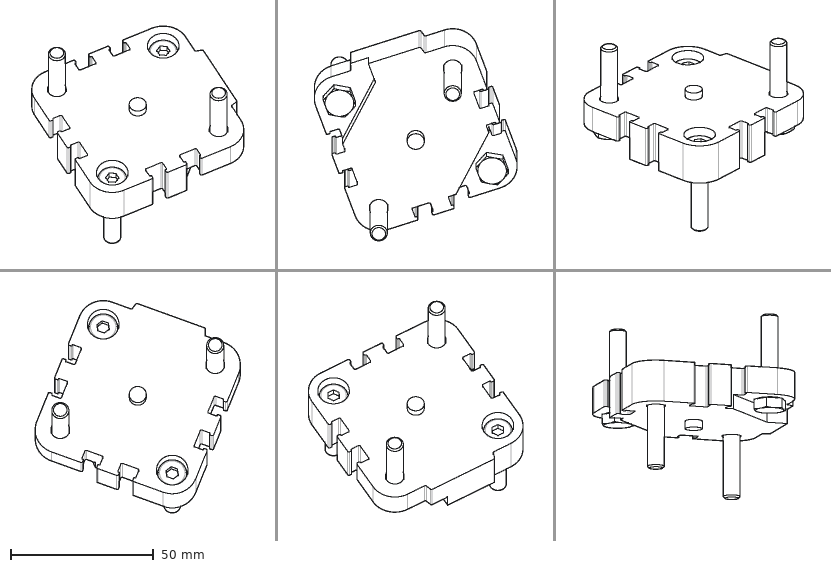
import cadquery as cq
import math

PLATE_WIDTH = 59.6
PLATE_HALF = PLATE_WIDTH / 2
PLATE_THICKNESS = 14.65
PLATE_LENGTH = 62.3
SCREW_OFFSET = 21.0
CORNER_RADIUS = PLATE_HALF - SCREW_OFFSET
EDGE_ROUND = 0.5

TAB_HEIGHT = PLATE_LENGTH - PLATE_WIDTH
TAB_TIP_WIDTH = 25.9
TAB_BASE_WIDTH = 27.4

SLOT_OFFSET = 6.7
SLOT_WIDTH = 6.7
SLOT_DEPTH = 4.9
SLOT_MOUTH_WIDTH = 5.35
SLOT_LIP_DEPTH = 1.45
SLOT_LIP_ROUND = 0.25

BOSS_DIAMETER = 6.0
BOSS_HEIGHT = 2.75

CLEARANCE_DIAMETER = 6.6
COUNTERBORE_DIAMETER = 11.0
COUNTERBORE_SEAT_Z = 7.85
RECESS_HEIGHT = 5.1
RECESS_WALL_END = 6.3

SHANK_DIAMETER = 6.0
SHANK_LENGTH = 30.0
SHANK_CHAMFER = 0.6
HEAD_HEIGHT = 4.0
CAP_HEAD_DIAMETER = 10.0
CAP_HEAD_ROUND = 0.55
SOCKET_FLATS = 4.0
SOCKET_DEPTH = 2.3
HEX_HEAD_FLATS = 10.0
WASHER_FACE_DIAMETER = 8.9
WASHER_FACE_HEIGHT = 0.3
HEX_CHAMFER_ANGLE = 20.0

HEX_SCREW_POINTS = [(-SCREW_OFFSET, -SCREW_OFFSET), (SCREW_OFFSET, SCREW_OFFSET)]
CAP_SCREW_POINTS = [(-SCREW_OFFSET, SCREW_OFFSET), (SCREW_OFFSET, -SCREW_OFFSET)]


def corner_diameter(flats):
    """Distance across the corners of a hexagon with the given distance across flats."""
    return flats / math.cos(math.radians(30))


def make_tab():
    """Tapered tab with rounded tip corners, rooted a little way inside the plate."""
    base_y = PLATE_HALF
    tip_y = PLATE_HALF + TAB_HEIGHT
    root_y = PLATE_HALF - CORNER_RADIUS
    outline = [
        (-TAB_BASE_WIDTH / 2, root_y),
        (-TAB_BASE_WIDTH / 2, base_y),
        (-TAB_TIP_WIDTH / 2, tip_y),
        (TAB_TIP_WIDTH / 2, tip_y),
        (TAB_BASE_WIDTH / 2, base_y),
        (TAB_BASE_WIDTH / 2, root_y),
    ]
    tab = cq.Workplane("XY").polyline(outline).close().extrude(PLATE_THICKNESS)
    return tab.edges("|Z and >Y").fillet(EDGE_ROUND)


def make_slot(offset):
    """Cutter for one T-slot entering the -Y side at X = offset, with a rounded floor."""
    chamber_length = SLOT_DEPTH - SLOT_LIP_DEPTH
    chamber_y = -PLATE_HALF + SLOT_LIP_DEPTH + chamber_length / 2
    chamber = (
        cq.Workplane("XY")
        .center(offset, chamber_y)
        .rect(SLOT_WIDTH, chamber_length)
        .extrude(PLATE_THICKNESS)
        .edges("|Z and >Y")
        .fillet(EDGE_ROUND)
    )
    mouth = (
        cq.Workplane("XY")
        .center(offset, -PLATE_HALF + SLOT_LIP_DEPTH / 2)
        .rect(SLOT_MOUTH_WIDTH, SLOT_LIP_DEPTH)
        .extrude(PLATE_THICKNESS)
    )
    slot = chamber.union(mouth)
    shoulder_y = -PLATE_HALF + SLOT_LIP_DEPTH
    shoulder_zone = cq.selectors.BoxSelector(
        (offset - SLOT_WIDTH, shoulder_y - SLOT_LIP_ROUND, 0),
        (offset + SLOT_WIDTH, shoulder_y + SLOT_LIP_ROUND, PLATE_THICKNESS),
    )
    return slot.edges("|Z").edges(shoulder_zone).fillet(SLOT_LIP_ROUND)


def make_slotted_side():
    """Cutters for the pair of slots on the -Y side."""
    return make_slot(-SLOT_OFFSET).union(make_slot(SLOT_OFFSET))


def make_corner_recess():
    """Cutter for the underside of the (-X, -Y) corner: a diagonal wall between two slot floors."""
    slot_floor = -PLATE_HALF + SLOT_DEPTH
    outline = [
        (-PLATE_LENGTH, -PLATE_LENGTH),
        (-RECESS_WALL_END, -PLATE_LENGTH),
        (-RECESS_WALL_END, slot_floor),
        (slot_floor, -RECESS_WALL_END),
        (-PLATE_LENGTH, -RECESS_WALL_END),
    ]
    return cq.Workplane("XY").polyline(outline).close().extrude(RECESS_HEIGHT)


def round_outer_edges(plate):
    """Round the slot mouths and the foot of the tab."""
    slot_span = SLOT_OFFSET + SLOT_WIDTH / 2
    tolerance = EDGE_ROUND / 2
    outer_edges = []
    for edge in plate.edges("|Z").vals():
        middle = edge.Center()
        along_x_side = abs(abs(middle.x) - PLATE_HALF) < tolerance
        along_y_side = abs(abs(middle.y) - PLATE_HALF) < tolerance
        at_slot_x = along_x_side and abs(middle.y) < slot_span
        at_slot_y = along_y_side and abs(middle.x) < slot_span
        at_tab_foot = along_y_side and abs(abs(middle.x) - TAB_BASE_WIDTH / 2) < tolerance
        if at_slot_x or at_slot_y or at_tab_foot:
            outer_edges.append(edge)
    return plate.newObject(outer_edges).fillet(EDGE_ROUND)


def make_plate():
    """Plate with its tab, slots, boss, corner recesses and screw seats."""
    plate = (
        cq.Workplane("XY")
        .rect(PLATE_WIDTH, PLATE_WIDTH)
        .extrude(PLATE_THICKNESS)
        .edges("|Z")
        .fillet(CORNER_RADIUS)
        .union(make_tab())
    )
    slotted_side = make_slotted_side()
    for angle in (-90, 0, 90):
        plate = plate.cut(slotted_side.rotate((0, 0, 0), (0, 0, 1), angle))
    plate = round_outer_edges(plate)

    corner_recess = make_corner_recess()
    for angle in (0, 180):
        plate = plate.cut(corner_recess.rotate((0, 0, 0), (0, 0, 1), angle))

    clearance_holes = (
        cq.Workplane("XY")
        .pushPoints(HEX_SCREW_POINTS + CAP_SCREW_POINTS)
        .circle(CLEARANCE_DIAMETER / 2)
        .extrude(PLATE_THICKNESS)
    )
    counterbores = (
        cq.Workplane("XY", origin=(0, 0, COUNTERBORE_SEAT_Z))
        .pushPoints(CAP_SCREW_POINTS)
        .circle(COUNTERBORE_DIAMETER / 2)
        .extrude(PLATE_THICKNESS - COUNTERBORE_SEAT_Z)
    )
    boss = (
        cq.Workplane("XY", origin=(0, 0, -BOSS_HEIGHT))
        .circle(BOSS_DIAMETER / 2)
        .extrude(PLATE_THICKNESS + 2 * BOSS_HEIGHT)
    )
    return plate.cut(clearance_holes).cut(counterbores).union(boss)


def make_cap_screw(x, y):
    """Low-head socket screw pointing down, seated on the counterbore floor."""
    head = (
        cq.Workplane("XY")
        .circle(CAP_HEAD_DIAMETER / 2)
        .extrude(HEAD_HEIGHT)
        .faces(">Z")
        .edges()
        .fillet(CAP_HEAD_ROUND)
    )
    socket = (
        cq.Workplane("XY", origin=(0, 0, HEAD_HEIGHT - SOCKET_DEPTH))
        .polygon(6, corner_diameter(SOCKET_FLATS))
        .extrude(SOCKET_DEPTH)
    )
    shank = (
        cq.Workplane("XY")
        .circle(SHANK_DIAMETER / 2)
        .extrude(-SHANK_LENGTH)
        .faces("<Z")
        .chamfer(SHANK_CHAMFER)
    )
    return head.cut(socket).union(shank).translate((x, y, COUNTERBORE_SEAT_Z))


def make_hex_screw(x, y):
    """Hex-head screw pointing up, its washer face against the recess ceiling."""
    washer_face = cq.Workplane("XY").circle(WASHER_FACE_DIAMETER / 2).extrude(-WASHER_FACE_HEIGHT)
    hexagon = (
        cq.Workplane("XY", origin=(0, 0, -HEAD_HEIGHT))
        .polygon(6, corner_diameter(HEX_HEAD_FLATS))
        .extrude(HEAD_HEIGHT - WASHER_FACE_HEIGHT)
        .rotate((0, 0, 0), (0, 0, 1), 30)
    )
    chamfer_cone = (
        cq.Workplane("XY", origin=(0, 0, -HEAD_HEIGHT))
        .circle(HEX_HEAD_FLATS / 2)
        .extrude(HEAD_HEIGHT, taper=HEX_CHAMFER_ANGLE - 90)
    )
    shank = (
        cq.Workplane("XY")
        .circle(SHANK_DIAMETER / 2)
        .extrude(SHANK_LENGTH)
        .faces(">Z")
        .chamfer(SHANK_CHAMFER)
    )
    head = hexagon.intersect(chamfer_cone).union(washer_face)
    return head.union(shank).translate((x, y, RECESS_HEIGHT))


plate = make_plate()
cap_screws = [make_cap_screw(x, y) for x, y in CAP_SCREW_POINTS]
hex_screws = [make_hex_screw(x, y) for x, y in HEX_SCREW_POINTS]

result = cq.Compound.makeCompound([
    plate.val(),
    *[screw.val() for screw in cap_screws],
    *[screw.val() for screw in hex_screws],
])